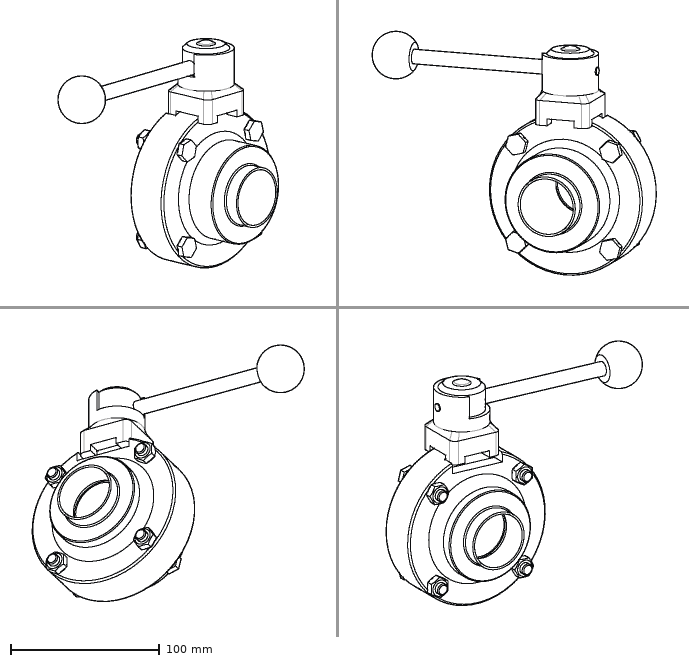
import cadquery as cq
import math


LENGTH = 92.0
PIPE_DIAMETER = 41.0
BORE_DIAMETER = 38.0
GROOVE_DIAMETER = 40.0
GROOVE_START_X = -26.3
GROOVE_WIDTH = 3.1
LINER_HALF_LENGTH = 36.0
LINER_CHAMFER = 0.8
WELD_SIZE = 1.0
LEFT_LINER_DIAMETER = 65.0
RIGHT_LINER_DIAMETER = 68.0
LEFT_CONE_TIP_X = -28.0
RIGHT_CONE_TIP_X = 15.1
LEFT_CONE_BASE_DIAMETER = 78.0
RIGHT_CONE_BASE_DIAMETER = 78.0

DISC_DIAMETER = 110.0
DISC_LEFT_X = -19.8
DISC_RIGHT_X = 10.0
DISC_CHAMFER = 1.4
POCKET_WIDTH = 39.7
POCKET_FLOOR_Z = 44.2

BOLT_OFFSET = 33.8
BOLT_DIAMETER = 8.0
BOLT_END_X = -29.8
BOLT_CHAMFER = 0.8
HEX_ACROSS_FLATS = 13.2
NUT_CHAMFER = 1.0
NUT_FACE_DIAMETER = 11.5
NUT_THICKNESS = 6.3
WASHER_FACE_DIAMETER = 11.5
WASHER_FACE_THICKNESS = 0.5
BOLT_HEAD_TOP_X = 15.1

HOUSING_SIDE = 38.5
HOUSING_CORNER_RADIUS = 4.3
HOUSING_BOTTOM_Z = 49.5
HOUSING_TOP_Z = 66.5
NOTCH_WIDTH = 19.6
NOTCH_TOP_Z = 54.2
HEAD_BOTTOM_Z = 71.0
HEAD_TOP_Z = 96.2
HEAD_DIAMETER = 38.0
HEAD_ARC_HALF_ANGLE = 7.5

LEVER_SLOT_BOTTOM_Z = 80.3
LEVER_SLOT_EDGE = 5.5
HUB_DIAMETER = 32.0
CAP_TOP_DIAMETER = 25.7
CAP_TOP_Z = 99.2
CAP_BUTTON_DIAMETER = 12.8
CAP_BUTTON_TAPER_HEIGHT = 0.8
CAP_DOME_DIAMETER = 10.5
CAP_DOME_HEIGHT = 1.4

LEVER_Z = 85.5
LEVER_DIAMETER = 10.0
BALL_DIAMETER = 32.2
BALL_FLAT_OFFSET = 13.0
OVERALL_WIDTH = 196.4
NUB_DIAMETER = 5.5
NUB_PROJECTION = 0.5
NUB_DOME_HEIGHT = 0.8

HEX_CORNER_DIAMETER = HEX_ACROSS_FLATS / math.cos(math.radians(30))
HEAD_RADIUS = HEAD_DIAMETER / 2
BALL_CENTER_Y = DISC_DIAMETER / 2 - OVERALL_WIDTH + BALL_DIAMETER / 2


def x_cylinder(diameter, start_x, end_x):
    """Solid cylinder around the X axis."""
    return cq.Workplane("YZ", origin=(start_x, 0, 0)).circle(diameter / 2).extrude(end_x - start_x)


def x_cone(start_diameter, end_diameter, start_x, end_x):
    """Solid truncated cone around the X axis."""
    profile = [
        (start_x, 0),
        (start_x, start_diameter / 2),
        (end_x, end_diameter / 2),
        (end_x, 0),
    ]
    return cq.Workplane("XY").polyline(profile).close().revolve(360, (0, 0, 0), (1, 0, 0))


def dome(diameter, height):
    """Shallow spherical cap standing on the XY plane."""
    radius = diameter / 2
    sphere_radius = (radius**2 + height**2) / (2 * height)
    ball = cq.Workplane("XY").sphere(sphere_radius).translate((0, 0, height - sphere_radius))
    return ball.intersect(cq.Workplane("XY").circle(diameter).extrude(2 * height))


def make_disc():
    """Flange disc with a flat-floored pocket under the stem housing."""
    disc = x_cylinder(DISC_DIAMETER, DISC_LEFT_X, DISC_RIGHT_X).edges().chamfer(DISC_CHAMFER)
    pocket_depth = -NOTCH_WIDTH / 2 - DISC_LEFT_X
    pocket = cq.Workplane("XY", origin=(DISC_LEFT_X, 0, POCKET_FLOOR_Z)).box(
        pocket_depth, POCKET_WIDTH, DISC_DIAMETER / 2, centered=(False, True, False)
    )
    return disc.cut(pocket)


def make_liners():
    """Pipe stubs, welded liners and the cones that join them to the disc."""
    body = x_cylinder(PIPE_DIAMETER, -LENGTH / 2, LENGTH / 2)
    left = x_cylinder(LEFT_LINER_DIAMETER, -LINER_HALF_LENGTH, DISC_LEFT_X)
    right = x_cylinder(RIGHT_LINER_DIAMETER, DISC_RIGHT_X, LINER_HALF_LENGTH)
    body = body.union(left.faces("<X").edges().chamfer(LINER_CHAMFER))
    body = body.union(right.faces(">X").edges().chamfer(LINER_CHAMFER))
    body = body.union(
        x_cone(LEFT_LINER_DIAMETER, LEFT_CONE_BASE_DIAMETER, LEFT_CONE_TIP_X, DISC_LEFT_X)
    )
    body = body.union(
        x_cone(RIGHT_CONE_BASE_DIAMETER, RIGHT_LINER_DIAMETER, DISC_RIGHT_X, RIGHT_CONE_TIP_X)
    )
    weld_diameter = PIPE_DIAMETER + 2 * WELD_SIZE
    for side in (-1, 1):
        weld_end_x = side * (LINER_HALF_LENGTH + WELD_SIZE)
        body = body.union(
            x_cone(weld_diameter, PIPE_DIAMETER, side * LINER_HALF_LENGTH, weld_end_x)
        )
    return body


def make_bore():
    """Through bore with a shallow ring groove inside the left liner."""
    bore = x_cylinder(BORE_DIAMETER, -LENGTH / 2, LENGTH / 2)
    return bore.union(x_cylinder(GROOVE_DIAMETER, GROOVE_START_X, GROOVE_START_X + GROOVE_WIDTH))


def make_hex(start_x, end_x, corner_angle):
    """Hexagonal prism along X with one corner at the given angle from +Y towards +Z."""
    prism = cq.Workplane("YZ", origin=(start_x, 0, 0)).polygon(6, HEX_CORNER_DIAMETER)
    return prism.extrude(end_x - start_x).rotate((0, 0, 0), (1, 0, 0), corner_angle)


def make_bolt(corner_index):
    """Bolt along the X axis with its nut on the -X side of the disc and its head on the +X side."""
    nut_start_x = DISC_LEFT_X - NUT_THICKNESS
    nut = make_hex(nut_start_x, DISC_LEFT_X, 90 * corner_index)
    start_taper_x = nut_start_x + NUT_CHAMFER
    end_taper_x = DISC_LEFT_X - NUT_CHAMFER
    blank = x_cylinder(HEX_CORNER_DIAMETER, start_taper_x, end_taper_x)
    blank = blank.union(x_cone(NUT_FACE_DIAMETER, HEX_CORNER_DIAMETER, nut_start_x, start_taper_x))
    blank = blank.union(x_cone(HEX_CORNER_DIAMETER, NUT_FACE_DIAMETER, end_taper_x, DISC_LEFT_X))
    nut = nut.intersect(blank)
    shank = x_cylinder(BOLT_DIAMETER, BOLT_END_X, DISC_RIGHT_X)
    shank = shank.faces("<X").edges().chamfer(BOLT_CHAMFER)
    head_start_x = DISC_RIGHT_X + WASHER_FACE_THICKNESS
    washer_face = x_cylinder(WASHER_FACE_DIAMETER, DISC_RIGHT_X, head_start_x)
    head = make_hex(head_start_x, BOLT_HEAD_TOP_X, 45 + 90 * corner_index)
    return shank.union(nut).union(washer_face).union(head)


def arc_points(radius, start_angle, end_angle):
    """Start, middle and end of an arc around the Z axis, in the XY plane."""
    angles = (start_angle, (start_angle + end_angle) / 2, end_angle)
    return [
        (radius * math.cos(math.radians(a)), radius * math.sin(math.radians(a))) for a in angles
    ]


def make_housing_transition():
    """Ruled transition from the rounded square of the housing to the round lever head."""
    square = cq.Workplane("XY", origin=(0, 0, HOUSING_TOP_Z))
    corner_center = HOUSING_SIDE / 2 - HOUSING_CORNER_RADIUS
    circle = cq.Workplane("XY", origin=(0, 0, HEAD_BOTTOM_Z))
    for quarter in range(4):
        diagonal = 45 + 90 * quarter
        shift_x = math.copysign(corner_center, math.cos(math.radians(diagonal)))
        shift_y = math.copysign(corner_center, math.sin(math.radians(diagonal)))
        corner = [
            (x + shift_x, y + shift_y)
            for x, y in arc_points(HOUSING_CORNER_RADIUS, diagonal - 45, diagonal + 45)
        ]
        corner_end = diagonal + HEAD_ARC_HALF_ANGLE
        round_corner = arc_points(HEAD_RADIUS, diagonal - HEAD_ARC_HALF_ANGLE, corner_end)
        round_side = arc_points(HEAD_RADIUS, corner_end, diagonal + 90 - HEAD_ARC_HALF_ANGLE)
        if quarter == 0:
            square = square.moveTo(*corner[0])
            circle = circle.moveTo(*round_corner[0])
        else:
            square = square.lineTo(*corner[0])
        square = square.threePointArc(corner[1], corner[2])
        circle = circle.threePointArc(round_corner[1], round_corner[2])
        circle = circle.threePointArc(round_side[1], round_side[2])
    wires = [square.close().val(), circle.close().val()]
    return cq.Workplane(cq.Solid.makeLoft(wires, True))


def make_housing():
    """Square stem housing, notched both ways over the rim of the disc."""
    height = HOUSING_TOP_Z - HOUSING_BOTTOM_Z
    base = cq.Workplane("XY", origin=(0, 0, HOUSING_BOTTOM_Z))
    housing = base.rect(HOUSING_SIDE, HOUSING_SIDE).extrude(height)
    housing = housing.edges("|Z").fillet(HOUSING_CORNER_RADIUS)
    notch_height = NOTCH_TOP_Z - HOUSING_BOTTOM_Z
    housing = housing.cut(base.rect(NOTCH_WIDTH, HOUSING_SIDE).extrude(notch_height))
    housing = housing.cut(base.rect(HOUSING_SIDE, NOTCH_WIDTH).extrude(notch_height))
    return housing.union(make_housing_transition())


def make_lever_head():
    """Round head with a stepped-back sector for the lever swing, topped by a cap with a domed button."""
    head = cq.Workplane("XY", origin=(0, 0, HEAD_BOTTOM_Z)).circle(HEAD_RADIUS)
    head = head.extrude(HEAD_TOP_Z - HEAD_BOTTOM_Z)
    slot_height = HEAD_TOP_Z - LEVER_SLOT_BOTTOM_Z
    sector_start = LEVER_SLOT_EDGE - HOUSING_SIDE
    swing_sector = cq.Workplane("XY", origin=(sector_start, sector_start, LEVER_SLOT_BOTTOM_Z)).box(
        HOUSING_SIDE, HOUSING_SIDE, slot_height, centered=False
    )
    head = head.cut(swing_sector)
    hub = cq.Workplane("XY", origin=(0, 0, LEVER_SLOT_BOTTOM_Z)).circle(HUB_DIAMETER / 2)
    head = head.union(hub.extrude(slot_height))
    cap = cq.Workplane("XY", origin=(0, 0, HEAD_TOP_Z)).circle(HUB_DIAMETER / 2)
    cap = cap.workplane(offset=CAP_TOP_Z - HEAD_TOP_Z).circle(CAP_TOP_DIAMETER / 2).loft()
    button = cq.Workplane("XY", origin=(0, 0, CAP_TOP_Z)).circle(CAP_BUTTON_DIAMETER / 2)
    button = button.workplane(offset=CAP_BUTTON_TAPER_HEIGHT).circle(CAP_DOME_DIAMETER / 2).loft()
    dome_base_z = CAP_TOP_Z + CAP_BUTTON_TAPER_HEIGHT
    cap_dome = dome(CAP_DOME_DIAMETER, CAP_DOME_HEIGHT).translate((0, 0, dome_base_z))
    return head.union(cap).union(button).union(cap_dome)


def make_lever():
    """Lever rod towards -Y with a ball knob, and the small nub opposite to it on the head."""
    rod = cq.Workplane("XZ", origin=(0, 0, LEVER_Z)).circle(LEVER_DIAMETER / 2)
    rod = rod.extrude(-BALL_CENTER_Y)
    ball = cq.Workplane("XY").sphere(BALL_DIAMETER / 2)
    flat_cut = cq.Workplane("XY", origin=(0, BALL_FLAT_OFFSET, 0)).box(
        BALL_DIAMETER, BALL_DIAMETER, BALL_DIAMETER, centered=(True, False, True)
    )
    ball = ball.cut(flat_cut).translate((0, BALL_CENTER_Y, LEVER_Z))
    nub_stem = cq.Workplane("XY").circle(NUB_DIAMETER / 2).extrude(-HEAD_RADIUS / 2)
    nub = nub_stem.union(dome(NUB_DIAMETER, NUB_DOME_HEIGHT))
    nub = nub.rotate((0, 0, 0), (1, 0, 0), -90).translate((0, HEAD_RADIUS + NUB_PROJECTION, LEVER_Z))
    return rod.union(ball).union(nub)


valve = make_disc().union(make_liners()).cut(make_bore())
for corner_index, (side_y, side_z) in enumerate([(1, 1), (-1, 1), (-1, -1), (1, -1)]):
    bolt = make_bolt(corner_index)
    valve = valve.union(bolt.translate((0, side_y * BOLT_OFFSET, side_z * BOLT_OFFSET)))
valve = valve.union(make_housing()).union(make_lever_head()).union(make_lever())
result = valve